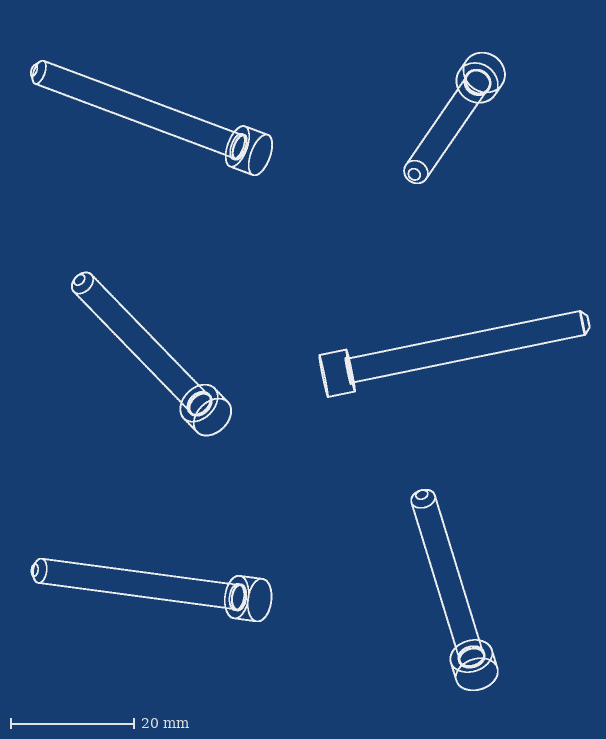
import cadquery as cq

total_length = 44.0
head_diameter = 7.0
head_length = 4.5
shank_diameter = 4.0
tip_diameter = 2.0
groove_diameter = 4.3
groove_depth = 0.45
tip_chamfer = (shank_diameter - tip_diameter) / 2

tip_x = -total_length / 2
head_end_x = total_length / 2
head_face_x = head_end_x - head_length
groove_floor_x = head_face_x + groove_depth

profile = (
    cq.Workplane("XY")
    .moveTo(tip_x, 0)
    .lineTo(tip_x, tip_diameter / 2)
    .lineTo(tip_x + tip_chamfer, shank_diameter / 2)
    .lineTo(groove_floor_x, shank_diameter / 2)
    .lineTo(groove_floor_x, groove_diameter / 2)
    .lineTo(head_face_x, groove_diameter / 2)
    .lineTo(head_face_x, head_diameter / 2)
    .lineTo(head_end_x, head_diameter / 2)
    .lineTo(head_end_x, 0)
    .close()
)

result = profile.revolve(360, (0, 0, 0), (1, 0, 0))